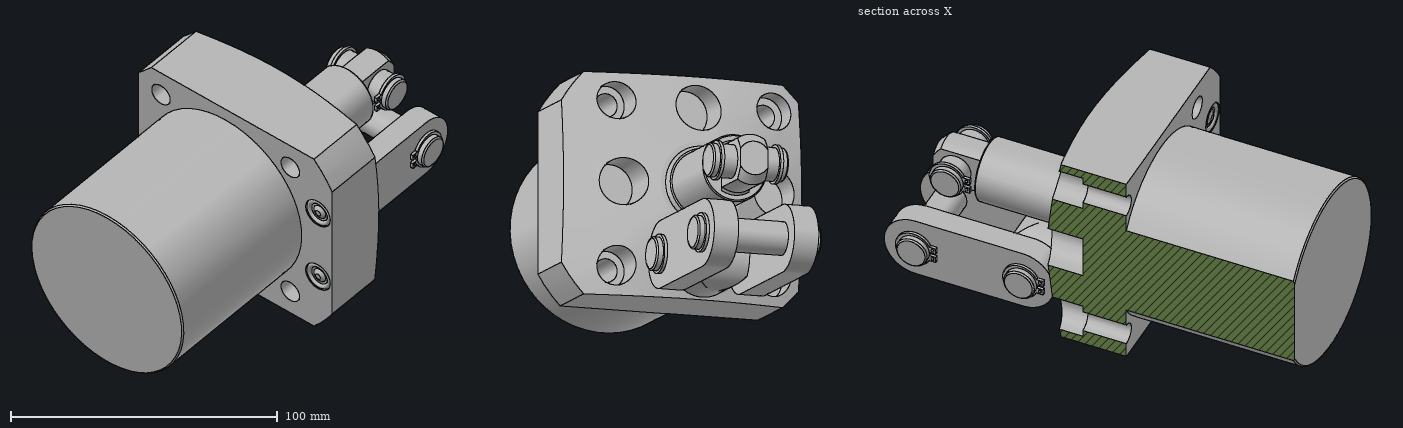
import cadquery as cq
import math


BODY_RADIUS = 37.1
BODY_LENGTH = 69.62
BODY_CHAMFER = 0.6

FLANGE_HALF = 42.5
FLANGE_RIGHT = 51.96
LEFT_CORNER = 6.3
RIGHT_CORNER_RADIUS = 60.5
CROWN_Y = 36.8
CROWN_RADIUS = 16.5
CONE_ANGLE = 15.0

MOUNT_OFFSET = 31.5
MOUNT_HOLE_RADIUS = 4.5
COUNTERBORE_RADIUS = 7.3
COUNTERBORE_FLOOR_Y = 18.0

BRACKET_OFFSET = 30.0
SOCKET_RADIUS = 9.0
SOCKET_FLOOR_Y = 18.0

PORT_X = 45.0
PORT_HALF_SPACING = 16.1
PORT_RADIUS = 6.0
SEAL_SECTION_RADIUS = 1.05
NIPPLE_BASE_RADIUS = 2.9
NIPPLE_TIP_RADIUS = 1.2

ROD_RADIUS = 12.75
ROD_END_Y = 71.6
ROD_CHAMFER = 0.5
COLLAR_END_Y = 38.5
COLLAR_BASE_RADIUS = 14.7
COLLAR_END_RADIUS = 13.5
TONGUE_END_Y = 92.0
TONGUE_RADIUS = 9.6
TONGUE_CHAMFER = 3.2
TONGUE_HALF_WIDTH = 5.5
TONGUE_ROOT = 0.9

LINK_RADIUS = 12.9
LINK_Z = -BRACKET_OFFSET
LINK_TIP_Y = 105.0
LINK_OUTER_PIN_Y = LINK_TIP_Y - LINK_RADIUS
LINK_INNER_PIN_Y = 47.8
LINK_INNER_X = 11.2
LINK_OUTER_X = 20.9
BRACKET_BASE_Y = 36.5
BRACKET_SHOULDER_Y = 39.9
BRACKET_HALF_WIDTH = 10.0
BRACKET_NECK_RADIUS = 9.4

PIN_RADIUS = 6.35
PIN_CHAMFER = 0.6
PIN_OVERHANG = 3.8
ROD_PIN_Y = 82.65
RING_THICKNESS = 1.2
RING_RADIUS = 7.4
RING_ECCENTRICITY = 0.3
RING_LUG_REACH = 9.0
RING_LUG_HALF_WIDTH = 3.3
RING_GAP = 1.6
RING_HOLE_RADIUS = 0.6


def cylinder_y(radius, y_start, y_end, x=0.0, z=0.0):
    """Solid cylinder along Y."""
    return cq.Workplane(
        cq.Solid.makeCylinder(radius, y_end - y_start, cq.Vector(x, y_start, z), cq.Vector(0, 1, 0))
    )


def cylinder_x(radius, x_start, x_end, y, z):
    """Solid cylinder along X."""
    return cq.Workplane(
        cq.Solid.makeCylinder(radius, x_end - x_start, cq.Vector(x_start, y, z), cq.Vector(1, 0, 0))
    )


def box_between(x_range, y_range, z_range):
    """Box given by its limits along each axis."""
    spans = (x_range, y_range, z_range)
    sizes = [high - low for low, high in spans]
    corner = [low for low, high in spans]
    return cq.Workplane("XY").box(*sizes, centered=False).translate(tuple(corner))


def turned(profile):
    """Solid of revolution about Y from (radius, y) points."""
    return cq.Workplane("XY").polyline(profile).close().revolve(360, (0, 0), (0, 1))


def make_body():
    body = cylinder_y(BODY_RADIUS, -BODY_LENGTH, 0)
    return body.faces("<Y").chamfer(BODY_CHAMFER)


def make_flange():
    plate = (
        cq.Workplane("XZ")
        .moveTo(FLANGE_RIGHT, FLANGE_HALF)
        .lineTo(-FLANGE_HALF + LEFT_CORNER, FLANGE_HALF)
        .lineTo(-FLANGE_HALF, FLANGE_HALF - LEFT_CORNER)
        .lineTo(-FLANGE_HALF, -FLANGE_HALF + LEFT_CORNER)
        .lineTo(-FLANGE_HALF + LEFT_CORNER, -FLANGE_HALF)
        .lineTo(FLANGE_RIGHT, -FLANGE_HALF)
        .close()
        .extrude(-CROWN_Y)
    )
    cone_drop = (RIGHT_CORNER_RADIUS - CROWN_RADIUS) * math.tan(math.radians(CONE_ANGLE))
    cone = turned([
        (0, 0),
        (RIGHT_CORNER_RADIUS, 0),
        (RIGHT_CORNER_RADIUS, CROWN_Y - cone_drop),
        (CROWN_RADIUS, CROWN_Y),
        (0, CROWN_Y),
    ])
    return plate.intersect(cone)


def cut_mounting_holes(flange):
    for x in (-MOUNT_OFFSET, MOUNT_OFFSET):
        for z in (-MOUNT_OFFSET, MOUNT_OFFSET):
            flange = flange.cut(cylinder_y(MOUNT_HOLE_RADIUS, 0, CROWN_Y, x, z))
            flange = flange.cut(cylinder_y(COUNTERBORE_RADIUS, COUNTERBORE_FLOOR_Y, CROWN_Y, x, z))
    return flange


def cut_spare_sockets(flange):
    for x, z in ((-BRACKET_OFFSET, 0), (BRACKET_OFFSET, 0), (0, BRACKET_OFFSET)):
        flange = flange.cut(cylinder_y(SOCKET_RADIUS, SOCKET_FLOOR_Y, CROWN_Y, x, z))
    return flange


def add_ports(flange):
    """Shallow recesses, each holding a seal ring and a conical nipple, flush with the face."""
    depth = SEAL_SECTION_RADIUS
    seal_radius = PORT_RADIUS - SEAL_SECTION_RADIUS
    outward = cq.Vector(0, -1, 0)
    for z in (-PORT_HALF_SPACING, PORT_HALF_SPACING):
        floor_center = cq.Vector(PORT_X, depth, z)
        seal = cq.Solid.makeTorus(seal_radius, SEAL_SECTION_RADIUS, floor_center, outward)
        nipple = cq.Solid.makeCone(NIPPLE_BASE_RADIUS, NIPPLE_TIP_RADIUS, depth, floor_center, outward)
        flange = flange.cut(cylinder_y(PORT_RADIUS, 0, depth, PORT_X, z))
        flange = flange.union(cq.Workplane(seal)).union(cq.Workplane(nipple))
    return flange


def make_rod():
    """Tapered collar, rod and the flattened tongue at its end."""
    collar = turned([
        (0, CROWN_Y),
        (COLLAR_BASE_RADIUS, CROWN_Y),
        (COLLAR_END_RADIUS, COLLAR_END_Y),
        (0, COLLAR_END_Y),
    ])
    rod = cylinder_y(ROD_RADIUS, 0, ROD_END_Y).faces(">Y").chamfer(ROD_CHAMFER)
    tongue = turned([
        (0, ROD_END_Y),
        (TONGUE_RADIUS + TONGUE_ROOT, ROD_END_Y),
        (TONGUE_RADIUS, ROD_END_Y + TONGUE_ROOT),
        (TONGUE_RADIUS, TONGUE_END_Y - TONGUE_CHAMFER),
        (TONGUE_RADIUS - TONGUE_CHAMFER, TONGUE_END_Y),
        (0, TONGUE_END_Y),
    ])
    flats = box_between(
        (-TONGUE_HALF_WIDTH, TONGUE_HALF_WIDTH),
        (ROD_END_Y, TONGUE_END_Y),
        (-ROD_RADIUS, ROD_RADIUS),
    )
    return collar.union(rod).union(tongue.intersect(flats))


def make_bracket():
    """Turned bracket with a rounded eye between the links."""
    z_range = (LINK_Z - LINK_RADIUS, LINK_Z + LINK_RADIUS)
    eye_end = LINK_INNER_PIN_Y + LINK_RADIUS
    x_range = (-BRACKET_HALF_WIDTH, BRACKET_HALF_WIDTH)
    eye = box_between(x_range, (BRACKET_SHOULDER_Y, LINK_INNER_PIN_Y), z_range)
    eye = eye.union(cylinder_x(LINK_RADIUS, *x_range, LINK_INNER_PIN_Y, LINK_Z))
    eye = eye.intersect(cylinder_y(LINK_RADIUS, BRACKET_SHOULDER_Y, eye_end, z=LINK_Z))
    shoulder = cylinder_y(LINK_RADIUS, BRACKET_BASE_Y, BRACKET_SHOULDER_Y, z=LINK_Z)
    neck = cylinder_y(BRACKET_NECK_RADIUS, SOCKET_FLOOR_Y, BRACKET_BASE_Y, z=LINK_Z)
    return neck.union(shoulder).union(eye)


def make_link(x_start, x_end):
    """Flat link with two full-round ends."""
    link = box_between(
        (x_start, x_end),
        (LINK_INNER_PIN_Y, LINK_OUTER_PIN_Y),
        (LINK_Z - LINK_RADIUS, LINK_Z + LINK_RADIUS),
    )
    for pin_y in (LINK_INNER_PIN_Y, LINK_OUTER_PIN_Y):
        link = link.union(cylinder_x(LINK_RADIUS, x_start, x_end, pin_y, LINK_Z))
    return link


def make_ring(x_start, pin_y, pin_z):
    """Retaining ring with a split pair of drilled lugs on its -Y side."""
    x_end = x_start + RING_THICKNESS
    ring = cylinder_x(RING_RADIUS, x_start, x_end, pin_y + RING_ECCENTRICITY, pin_z)
    lugs = box_between(
        (x_start, x_end),
        (pin_y - RING_LUG_REACH, pin_y),
        (pin_z - RING_LUG_HALF_WIDTH, pin_z + RING_LUG_HALF_WIDTH),
    )
    gap = box_between(
        (x_start, x_end),
        (pin_y - RING_LUG_REACH, pin_y - PIN_RADIUS),
        (pin_z - RING_GAP / 2, pin_z + RING_GAP / 2),
    )
    ring = ring.union(lugs).cut(gap)
    hole_y = pin_y - (PIN_RADIUS + RING_LUG_REACH) / 2
    hole_offset = (RING_GAP / 2 + RING_LUG_HALF_WIDTH) / 2
    for z in (pin_z - hole_offset, pin_z + hole_offset):
        ring = ring.cut(cylinder_x(RING_HOLE_RADIUS, x_start, x_end, hole_y, z))
    return ring


def make_pin(ring_x, pin_y, pin_z):
    """Pin along X with a retaining ring starting at +/- ring_x."""
    half_length = ring_x + PIN_OVERHANG
    pin = cylinder_x(PIN_RADIUS, -half_length, half_length, pin_y, pin_z)
    pin = pin.faces("<X or >X").chamfer(PIN_CHAMFER)
    for x_start in (ring_x, -ring_x - RING_THICKNESS):
        pin = pin.union(make_ring(x_start, pin_y, pin_z))
    return pin


flange = add_ports(cut_spare_sockets(cut_mounting_holes(make_flange())))
result = make_body().union(flange).union(make_rod()).union(make_bracket())
result = result.union(make_link(LINK_INNER_X, LINK_OUTER_X))
result = result.union(make_link(-LINK_OUTER_X, -LINK_INNER_X))
result = result.union(make_pin(LINK_OUTER_X, LINK_OUTER_PIN_Y, LINK_Z))
result = result.union(make_pin(LINK_OUTER_X, LINK_INNER_PIN_Y, LINK_Z))
result = result.union(make_pin(LINK_INNER_X, ROD_PIN_Y, 0))